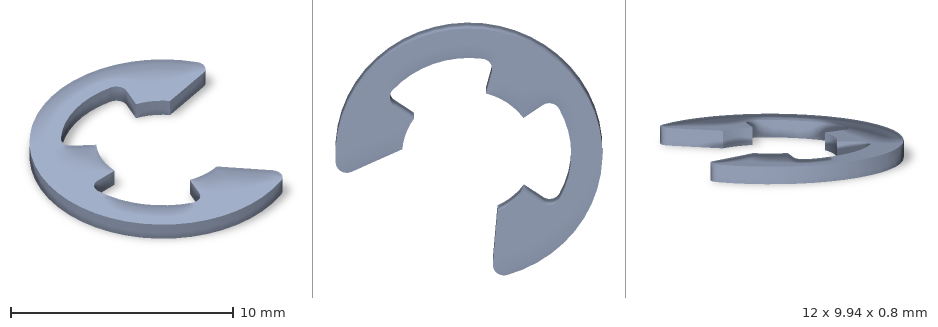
import cadquery as cq
import math

outer_radius = 6.0
grip_radius = 3.0
relief_radius = 4.6
thickness = 0.8
corner_radius = 0.5

side_lug_angle = 30.0
tooth_half_angle = 20.0
mouth_edge_angle = 60.0

tooth_start = 270.0 - tooth_half_angle
tooth_end = 270.0 + tooth_half_angle


def polar(radius, angle):
    a = math.radians(angle)
    return (radius * math.cos(a), radius * math.sin(a))


def mirrored(point):
    return (-point[0], point[1])


def find_tip(start, angle):
    """Where a line from start at the given angle meets the outer circle."""
    dx, dy = polar(1.0, angle)
    along = start[0] * dx + start[1] * dy
    start_squared = start[0] ** 2 + start[1] ** 2
    length = -along + math.sqrt(along**2 + outer_radius**2 - start_squared)
    return (start[0] + length * dx, start[1] + length * dy)


right_grip_end = polar(grip_radius, side_lug_angle)
left_grip_end = mirrored(right_grip_end)
right_tip = find_tip(right_grip_end, mouth_edge_angle)
left_tip = mirrored(right_tip)

pocket_corners = [polar(relief_radius, a) for a in (180.0, tooth_start, tooth_end, 360.0)]


def add_arc(path, radius, start_angle, end_angle):
    middle_angle = (start_angle + end_angle) / 2
    return path.threePointArc(polar(radius, middle_angle), polar(radius, end_angle))


def sharp_ring():
    path = cq.Workplane("XY").moveTo(*left_tip)
    path = path.threePointArc((0, -outer_radius), right_tip)

    path = path.lineTo(*right_grip_end)
    path = add_arc(path, grip_radius, side_lug_angle, 0.0)

    path = path.lineTo(*polar(relief_radius, 360.0))
    path = add_arc(path, relief_radius, 360.0, tooth_end)
    path = path.lineTo(*polar(grip_radius, tooth_end))
    path = add_arc(path, grip_radius, tooth_end, tooth_start)
    path = path.lineTo(*polar(relief_radius, tooth_start))
    path = add_arc(path, relief_radius, tooth_start, 180.0)

    path = path.lineTo(*polar(grip_radius, 180.0))
    path = add_arc(path, grip_radius, 180.0, 180.0 - side_lug_angle)
    return path.close().extrude(thickness)


def round_corners(ring, points, radius):
    for x, y in points:
        corner = cq.selectors.NearestToPointSelector((x, y, thickness / 2))
        ring = ring.edges("|Z").edges(corner).fillet(radius)
    return ring


result = round_corners(sharp_ring(), [left_tip, right_tip] + pocket_corners, corner_radius)